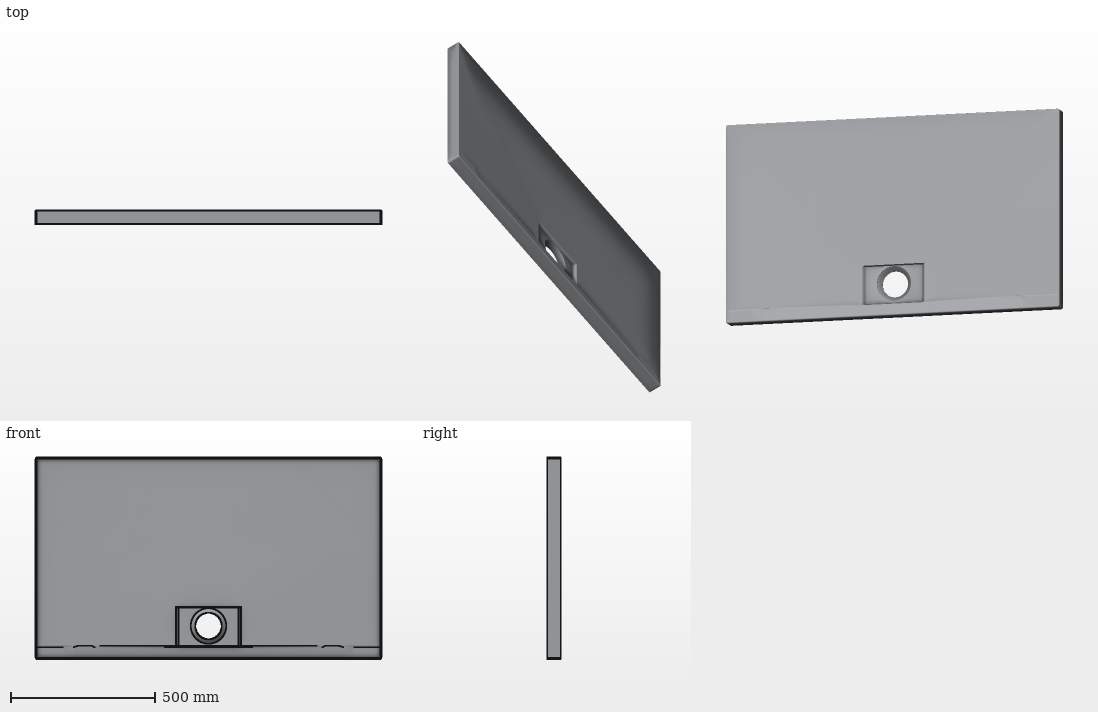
import cadquery as cq


LENGTH = 1200.0
DEPTH = 48.0
HEIGHT = 700.0
WALL = 5.0
SHEET = 5.0
CORNER_RADIUS = 8.0
RIM_RADIUS = 4.0

INNER_X = LENGTH / 2 - WALL
INNER_Z = HEIGHT / 2 - WALL
THROUGH_SHEET = cq.Vector(0, SHEET, 0)

FLOOR_END_Z = -303.0
STEP_END_Z = -309.0
BAND_RISE = 4.0
BAND_SLOPE = BAND_RISE / (FLOOR_END_Z + INNER_Z)
BAND_FLAT_X = 468.0
BAND_END_X = 505.0
STEP_OUTER_X = 405.0
STEP_INNER_X = 395.0
END_STEP_Z = -308.5
END_STEP_START_X = 450.0

PAD_BASE_X = 113.0
PAD_BASE_Z = -169.0
PAD_WAIST_X = 110.0
PAD_WAIST_Z = -170.0
PAD_TOP_X = 103.0
PAD_TOP_Z = -172.0
PAD_BASE_RISE = 9.0
PAD_WAIST_RISE = 11.0
PAD_RISE = 20.0
DRAIN_Z = -235.0
DRAIN_DIAMETER = 91.0
BOSS_DIAMETER = 123.0
BOSS_HEIGHT = 15.0
BOSS_TIP_LAND = 1.0
BOSS_TIP_DIAMETER = DRAIN_DIAMETER + 2 * BOSS_TIP_LAND
BOSS_LIP = 3.0
PAD_Y = -SHEET - PAD_RISE


def point(x, z, rise=0.0):
    """Point on the underside, given its rise below the rim level."""
    return cq.Vector(x, -SHEET - rise, z)


def band_point(x, z):
    """Point on the sloping band."""
    return point(x, z, BAND_SLOPE * (z + INNER_Z))


TOP_CORNER = point(-INNER_X, INNER_Z)
TOP_SEAM = point(-301, INNER_Z)
TOP_CENTRE = point(0, INNER_Z)
SIDE_SEAM = point(-INNER_X, 23)
LOW_CORNER = point(-INNER_X, FLOOR_END_Z, 1.0)
FOLD = point(-292, 22, 4.0)
ARCH_TOP = point(0, 112, 4.0)
ARCH_FOOT = point(-375, FLOOR_END_Z, 4.6)

ARCH_CREST = point(-144, 82, 4.0)
ARCH_START_DIRECTION = cq.Vector(2, 0, 1)
HAUNCH_X = -349.0
HAUNCH_Z = -135.0

SURROUND_TOP = point(0, -125, 8.0)
SURROUND_SHOULDER = point(-100, -136, 8.4)
SURROUND_CORNER = point(-125, -152, 8.4)
SURROUND_SIDE = point(-141, -174, 8.4)
SURROUND_FOOT = point(-151, FLOOR_END_Z, 8.4)

TURN_PART = 0.25

PAD_BASE_CENTRE = point(0, PAD_BASE_Z, PAD_BASE_RISE)
PAD_BASE_SHOULDER = point(SURROUND_SHOULDER.x, PAD_BASE_Z, PAD_BASE_RISE)
PAD_BASE_CORNER = point(-PAD_BASE_X, PAD_BASE_Z, PAD_BASE_RISE)
PAD_BASE_SIDE = point(-PAD_BASE_X, SURROUND_SIDE.z, PAD_BASE_RISE)
PAD_BASE_FOOT = point(-PAD_BASE_X, FLOOR_END_Z, PAD_BASE_RISE)
PAD_WAIST_CORNER = point(-PAD_WAIST_X, PAD_WAIST_Z, PAD_WAIST_RISE)
PAD_WAIST_FOOT = point(-PAD_WAIST_X, FLOOR_END_Z, PAD_WAIST_RISE)
PAD_CORNER = point(-PAD_TOP_X, PAD_TOP_Z, PAD_RISE)
PAD_FOOT = point(-PAD_TOP_X, FLOOR_END_Z, PAD_RISE)


def mirrored(p):
    """Matching point on the +X half."""
    return cq.Vector(-p.x, p.y, p.z)


def line(start, end):
    return cq.Edge.makeLine(start, end)


def bowed(start, end, x, z):
    """Arc from start to end passing over (x, z) at their mean rise."""
    return cq.Edge.makeThreePointArc(start, cq.Vector(x, (start.y + end.y) / 2, z), end)


def column(face):
    """Sheet material behind one underside panel."""
    return cq.Solid.extrudeLinear(face, THROUGH_SHEET)


def ruled(first, second):
    """Panel spanning straight between two edges."""
    return column(cq.Face.makeRuledSurface(first, second))


def quad(a, b, c, d):
    """Four-cornered panel, twisted where its corners are not in one plane."""
    return ruled(line(a, b), line(d, c))


def flat(*points):
    """Plane panel with straight sides."""
    return column(cq.Face.makeFromWires(cq.Wire.makePolygon(points, close=True)))


def floor_faces():
    """Underside faces of the dished floor on the -X half."""
    surface = cq.Face.makeRuledSurface
    arch = cq.Edge.makeSpline(
        [FOLD, ARCH_CREST, ARCH_TOP],
        tangents=[ARCH_START_DIRECTION, cq.Vector(1, 0, 0)],
    )
    haunch = bowed(FOLD, ARCH_FOOT, HAUNCH_X, HAUNCH_Z)
    surround_upper = cq.Edge.makeSpline(
        [SURROUND_CORNER, SURROUND_SHOULDER, SURROUND_TOP],
        tangents=[cq.Vector(1, 0, 1), cq.Vector(1, 0, 0)],
        parameters=[0, TURN_PART, 1],
    )
    surround_lower = cq.Edge.makeSpline(
        [SURROUND_CORNER, SURROUND_SIDE, SURROUND_FOOT],
        tangents=[cq.Vector(-1, 0, -1), cq.Vector(0, 0, -1)],
        parameters=[0, TURN_PART, 1],
    )
    upper_turn = surround_upper.trim(0, TURN_PART)
    crown = surround_upper.trim(TURN_PART, 1)
    lower_turn = surround_lower.trim(0, TURN_PART)
    flank = surround_lower.trim(TURN_PART, 1)
    return [
        surface(line(TOP_CORNER, TOP_SEAM), line(SIDE_SEAM, FOLD)),
        surface(line(TOP_SEAM, TOP_CENTRE), arch),
        surface(line(SIDE_SEAM, LOW_CORNER), haunch),
        surface(arch, surround_upper),
        surface(haunch, surround_lower),
        surface(crown, line(PAD_BASE_SHOULDER, PAD_BASE_CENTRE)),
        surface(upper_turn, line(PAD_BASE_CORNER, PAD_BASE_SHOULDER)),
        surface(lower_turn, line(PAD_BASE_CORNER, PAD_BASE_SIDE)),
        surface(flank, line(PAD_BASE_SIDE, PAD_BASE_FOOT)),
    ]


def floor_sheet():
    """Dished floor of constant thickness, closed all round between its two skins."""
    half = floor_faces()
    underside = half + [face.mirror("YZ") for face in half]
    topside = [face.translate(THROUGH_SHEET) for face in underside]
    half_outline = [
        PAD_BASE_CENTRE,
        PAD_BASE_SHOULDER,
        PAD_BASE_CORNER,
        PAD_BASE_SIDE,
        PAD_BASE_FOOT,
        SURROUND_FOOT,
        ARCH_FOOT,
        LOW_CORNER,
        SIDE_SEAM,
        TOP_CORNER,
        TOP_SEAM,
        TOP_CENTRE,
    ]
    border = []
    for start, end in zip(half_outline[:-1], half_outline[1:]):
        wall = cq.Face.makeRuledSurface(
            line(start, end), line(start + THROUGH_SHEET, end + THROUGH_SHEET)
        )
        border += [wall, wall.mirror("YZ")]
    return cq.Solid.makeSolid(cq.Shell.makeShell(underside + topside + border))


def floor_edge(x):
    """Point on the straight outer part of the lower edge of the floor."""
    share = (x - LOW_CORNER.x) / (ARCH_FOOT.x - LOW_CORNER.x)
    return LOW_CORNER + (ARCH_FOOT - LOW_CORNER) * share


def strip(upper, lower):
    """Row of panels between two lists of points."""
    return [quad(upper[i], upper[i + 1], lower[i + 1], lower[i]) for i in range(len(upper) - 1)]


def step_panels():
    """Steep strip from the lower edge of the floor down to the band."""
    start = floor_edge(-STEP_OUTER_X)
    upper = [start, ARCH_FOOT, SURROUND_FOOT, PAD_BASE_FOOT, PAD_WAIST_FOOT, PAD_FOOT]
    lower_x = [-STEP_INNER_X] + [p.x for p in upper[1:]]
    lower = [band_point(x, STEP_END_Z) for x in lower_x]
    return strip(upper, lower)


def end_step_panels():
    """Narrow strip between the ends of the floor edge and the ends of the band."""
    upper = [floor_edge(x) for x in (-INNER_X, -BAND_END_X, -BAND_FLAT_X)]
    lower = [
        point(-INNER_X, END_STEP_Z),
        point(-BAND_END_X, END_STEP_Z),
        band_point(-BAND_FLAT_X, END_STEP_Z),
    ]
    taper = flat(upper[-1], floor_edge(-END_STEP_START_X), lower[-1])
    return strip(upper, lower) + [taper]


def band_panels():
    """Sloping band, its flat end, and the blend between them."""
    slope_corner = band_point(-BAND_FLAT_X, END_STEP_Z)
    slope_foot = band_point(-BAND_FLAT_X, -INNER_Z)
    end_top = point(-BAND_END_X, END_STEP_Z)
    end_foot = point(-BAND_END_X, -INNER_Z)
    slope = flat(
        band_point(0, STEP_END_Z),
        band_point(-STEP_INNER_X, STEP_END_Z),
        band_point(-STEP_OUTER_X, FLOOR_END_Z),
        band_point(-END_STEP_START_X, FLOOR_END_Z),
        slope_corner,
        slope_foot,
        band_point(0, -INNER_Z),
    )
    blend = quad(slope_corner, slope_foot, end_foot, end_top)
    end = flat(end_top, end_foot, point(-INNER_X, -INNER_Z), point(-INNER_X, END_STEP_Z))
    return [slope, blend, end]


def pad_flank():
    """Side of the pad: a gentle foot, then a steeper slope up to the pad."""
    return strip(
        [PAD_BASE_CORNER, PAD_WAIST_CORNER, PAD_CORNER],
        [PAD_BASE_FOOT, PAD_WAIST_FOOT, PAD_FOOT],
    )


def pad_panels():
    """Panels of the drain pad that span both halves."""
    step_foot = band_point(-PAD_TOP_X, STEP_END_Z)
    chain = [PAD_BASE_CORNER, PAD_WAIST_CORNER, PAD_CORNER, PAD_FOOT, step_foot]
    return strip(chain, [mirrored(p) for p in chain])


def rim():
    """Wall frame, rounded at its upright corners and along its +Y edge."""
    block = cq.Workplane("XY").box(LENGTH, DEPTH, HEIGHT).translate((0, -DEPTH / 2, 0))
    block = block.edges("|Y").fillet(CORNER_RADIUS).faces(">Y").edges().fillet(RIM_RADIUS)
    opening = cq.Workplane("XY").box(2 * INNER_X, 2 * DEPTH, 2 * INNER_Z)
    return block.cut(opening).val()


def drain_cone(base_y):
    """Solid cone with its wide end at base_y, narrowing toward -Y."""
    return cq.Solid.makeCone(
        BOSS_DIAMETER / 2,
        BOSS_TIP_DIAMETER / 2,
        BOSS_HEIGHT,
        cq.Vector(0, base_y, DRAIN_Z),
        cq.Vector(0, -1, 0),
    )


def drain_hollow():
    """Conical recess behind the boss together with the drain hole through its tip."""
    recess = drain_cone(PAD_Y + BOSS_LIP)
    mouth_y = PAD_Y + BOSS_LIP
    mouth = cq.Solid.makeCylinder(
        BOSS_DIAMETER / 2, -mouth_y, cq.Vector(0, mouth_y, DRAIN_Z), cq.Vector(0, 1, 0)
    )
    hole = cq.Solid.makeCylinder(
        DRAIN_DIAMETER / 2, DEPTH, cq.Vector(0, -DEPTH, DRAIN_Z), cq.Vector(0, 1, 0)
    )
    return recess.fuse(mouth, hole)


half = step_panels() + end_step_panels() + band_panels() + pad_flank()
other_half = [panel.mirror("YZ") for panel in half]
tray = floor_sheet().fuse(*half, *other_half, *pad_panels())
tray = tray.fuse(rim(), drain_cone(PAD_Y)).cut(drain_hollow())
result = cq.Workplane("XY").newObject([tray])